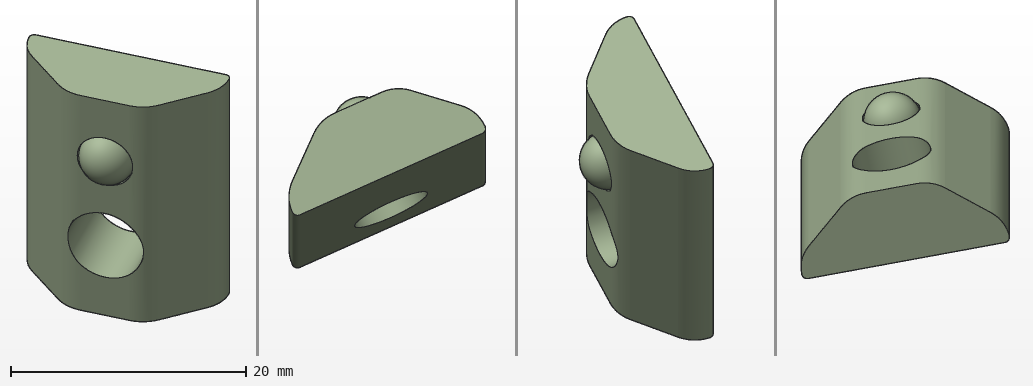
import cadquery as cq
import math

length = 23.0
width = 18.0
depth = 6.8
slant_angle = 41.6
back_radius = 0.48
shoulder_radius = 3.3
nose_radius = 3.5

bore_diameter = 6.8
bore_height = 7.5

ball_diameter = 5.0
ball_protrusion = 1.7
ball_height = 16.5

half_width = width / 2
front_y = -depth
ball_radius = ball_diameter / 2
ball_center = (0, front_y - ball_protrusion + ball_radius, ball_height)


def point_on_circle(center, radius, angle):
    """Point at an angle in degrees from +X around a circle."""
    turn = math.radians(angle)
    return (center[0] + radius * math.cos(turn), center[1] + radius * math.sin(turn))


def mirrored(point):
    return (-point[0], point[1])


def make_profile():
    """Cross-section of tangent lines and arcs, symmetric about X = 0."""
    flank_normal = slant_angle - 90

    back_center = (half_width - back_radius, -back_radius)
    back_start = point_on_circle(back_center, back_radius, 90)
    back_mid = point_on_circle(back_center, back_radius, 45)

    shoulder_center = (half_width - shoulder_radius, -back_radius)
    shoulder_start = point_on_circle(shoulder_center, shoulder_radius, 0)
    shoulder_mid = point_on_circle(shoulder_center, shoulder_radius, flank_normal / 2)
    shoulder_end = point_on_circle(shoulder_center, shoulder_radius, flank_normal)

    nose_center_y = front_y + nose_radius
    nose_turn = math.radians(flank_normal)
    rise = nose_center_y - shoulder_center[1]
    radius_step = shoulder_radius - nose_radius
    nose_center_x = shoulder_center[0] + (radius_step - rise * math.sin(nose_turn)) / math.cos(nose_turn)
    nose_center = (nose_center_x, nose_center_y)
    nose_start = point_on_circle(nose_center, nose_radius, flank_normal)
    nose_mid = point_on_circle(nose_center, nose_radius, (flank_normal - 90) / 2)
    nose_end = point_on_circle(nose_center, nose_radius, -90)

    return (
        cq.Workplane("XY")
        .moveTo(*back_start)
        .threePointArc(back_mid, shoulder_start)
        .threePointArc(shoulder_mid, shoulder_end)
        .lineTo(*nose_start)
        .threePointArc(nose_mid, nose_end)
        .lineTo(*mirrored(nose_end))
        .threePointArc(mirrored(nose_mid), mirrored(nose_start))
        .lineTo(*mirrored(shoulder_end))
        .threePointArc(mirrored(shoulder_mid), mirrored(shoulder_start))
        .threePointArc(mirrored(back_mid), mirrored(back_start))
        .close()
    )


def make_bore():
    """Round bore from the back face through the front face."""
    return (
        cq.Workplane("XZ", origin=(0, 0, bore_height))
        .circle(bore_diameter / 2)
        .extrude(depth)
    )


def make_ball():
    return cq.Workplane("XY", origin=ball_center).sphere(ball_radius)


def make_ball_seat():
    """Round pocket open at the front, with a bottom that fits the ball."""
    mouth = (
        cq.Workplane("XZ", origin=ball_center)
        .circle(ball_radius)
        .extrude(ball_radius)
    )
    return mouth.union(make_ball())


def make_block():
    return make_profile().extrude(length).cut(make_bore()).cut(make_ball_seat())


block = make_block()
ball = make_ball()

result = cq.Compound.makeCompound([block.solids().val(), ball.val()])